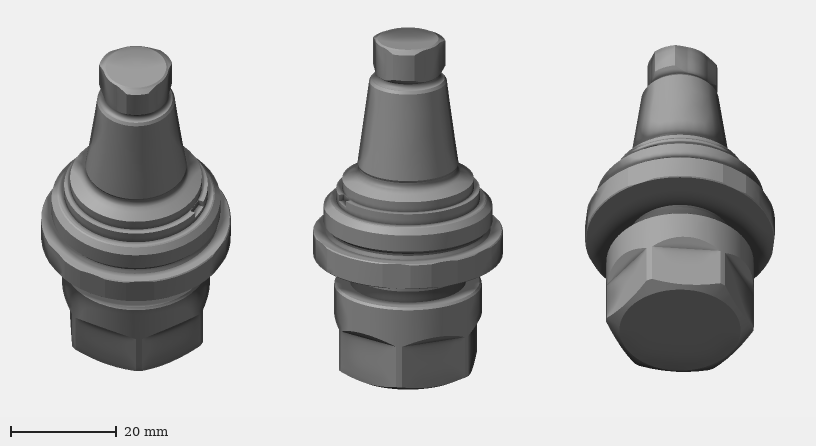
import cadquery as cq
import math

TOTAL_HEIGHT = 67.0
NUT_TOP = 17.55
FLANGE_BOTTOM = 23.0
FLANGE_TOP = 28.1
COLLAR_BOTTOM = 29.9
COLLAR_TOP = 34.4
RING_TOP = 36.6
SHOULDER_TOP = 38.6
TAPER_BOTTOM = 41.75
TAPER_TOP = 58.5
HEAD_BOTTOM = 60.0

NUT_RADIUS = 28.0 / 2
NUT_END_RADIUS = 23.0 / 2
JOURNAL_RADIUS = 22.0 / 2
NECK_RADIUS = 19.5 / 2
COLLAR_RADIUS = 32.0 / 2
GROOVE_RADIUS = 30.1 / 2
RING_RADIUS = 27.3 / 2
SHOULDER_RADIUS = 25.0 / 2
UNDERCUT_RADIUS = 9.4
TAPER_LARGE_RADIUS = 9.6
TAPER_SMALL_RADIUS = 7.4
STUD_NECK_RADIUS = 5.95

EDGE_BREAK = 0.2
NUT_TOP_BREAK = 0.4
NUT_BEVEL_HEIGHT = 1.4
JOURNAL_HEIGHT = 2.2
NECK_FLARE_HEIGHT = 1.35
GROOVE_UPPER_HEIGHT = 0.8
GROOVE_WALL_HEIGHT = 0.4
GROOVE_FLARE = 0.6
COLLAR_BEVEL = 1.1
COLLAR_LIP_RADIUS = 14.7
COLLAR_LIP_DROP = 0.15
UNDERCUT_FILLET = 1.1
UNDERCUT_TURN = math.radians(60)
UNDERCUT_GAP = 0.8
UNDERCUT_LEAD = 0.5
TAPER_TIP_BEVEL = 0.55
STUD_FILLET = HEAD_BOTTOM - TAPER_TOP - TAPER_TIP_BEVEL

HEX_ACROSS_FLATS = 24.8
HEX_TOP = 9.65

FLANGE_ACROSS_FLATS = 35.6
FLAT_WIDTH = 5.35
FLAT_ANGLES = (0, 60, 90, 120, 180, 240, 270, 300)

SLOT_WIDTH = 3.4
POCKET_WIDTH = 3.1
RECESS_HEIGHT = 1.3

LOBE_COUNT = 3
LOBE_RADIUS = 7.1
HEAD_CORE_RADIUS = 6.15
LOBE_HALF_ANGLE = 17
LOBE_FOOT_ANGLE = 38
HEAD_TOP_RADIUS = 5.75
HEAD_RIM_RADIUS = 6.1
HEAD_TOP_BEVEL = 0.7


def polar(radius, degrees):
    angle = math.radians(degrees)
    return radius * math.cos(angle), radius * math.sin(angle)


def polygon_of_revolution(points):
    """Revolve a closed (radius, height) outline about the Z axis."""
    return cq.Workplane("XZ").polyline(points).close().revolve(360, (0, 0), (0, 1))


def nut():
    body = polygon_of_revolution([
        (0, 0),
        (NUT_END_RADIUS, 0),
        (NUT_RADIUS, NUT_BEVEL_HEIGHT),
        (NUT_RADIUS, NUT_TOP - NUT_TOP_BREAK),
        (NUT_RADIUS - NUT_TOP_BREAK, NUT_TOP),
        (0, NUT_TOP),
    ])
    flat_distance = HEX_ACROSS_FLATS / 2
    margin = NUT_RADIUS
    cutter = (
        cq.Workplane("XZ")
        .polyline([
            (flat_distance, -margin),
            (flat_distance, HEX_TOP),
            (flat_distance + margin, HEX_TOP + margin),
            (flat_distance + margin, -margin),
        ])
        .close()
        .extrude(NUT_RADIUS, both=True)
    )
    for side in range(6):
        body = body.cut(cutter.rotate((0, 0, 0), (0, 0, 1), 30 + 60 * side))
    return body


def flange():
    flat_distance = FLANGE_ACROSS_FLATS / 2
    round_radius = math.hypot(flat_distance, FLAT_WIDTH / 2)
    height = FLANGE_TOP - FLANGE_BOTTOM
    body = (
        cq.Workplane("XY").workplane(offset=FLANGE_BOTTOM)
        .circle(round_radius).extrude(height)
        .edges().chamfer(EDGE_BREAK)
    )
    cutter = cq.Workplane("XY").box(
        FLAT_WIDTH, 2 * FLAT_WIDTH, height, centered=(False, True, False)
    ).translate((flat_distance, 0, FLANGE_BOTTOM))
    for angle in FLAT_ANGLES:
        body = body.cut(cutter.rotate((0, 0, 0), (0, 0, 1), angle))
    return body


def spindle():
    """Turned core from the journal above the nut to the neck below the head."""
    flare_bottom = NUT_TOP + JOURNAL_HEIGHT
    groove_top = COLLAR_BOTTOM - GROOVE_UPPER_HEIGHT
    undercut_top = TAPER_BOTTOM - UNDERCUT_GAP
    fillet_mid = UNDERCUT_TURN / 2

    def undercut_point(turn):
        return (
            UNDERCUT_RADIUS + UNDERCUT_FILLET * (1 - math.cos(turn)),
            undercut_top - UNDERCUT_FILLET * math.sin(turn),
        )

    stud_fillet_bottom = TAPER_TOP + TAPER_TIP_BEVEL
    stud_fillet_inset = STUD_FILLET * (1 - math.sqrt(0.5))
    stud_fillet_mid = (
        STUD_NECK_RADIUS + stud_fillet_inset,
        stud_fillet_bottom + stud_fillet_inset,
    )
    return (
        cq.Workplane("XZ")
        .moveTo(0, NUT_TOP)
        .lineTo(JOURNAL_RADIUS, NUT_TOP)
        .lineTo(JOURNAL_RADIUS, flare_bottom)
        .lineTo(NECK_RADIUS, flare_bottom + NECK_FLARE_HEIGHT)
        .lineTo(NECK_RADIUS, FLANGE_BOTTOM - 2 * EDGE_BREAK)
        .lineTo(NECK_RADIUS + EDGE_BREAK, FLANGE_BOTTOM)
        .lineTo(NECK_RADIUS + EDGE_BREAK, FLANGE_TOP)
        .lineTo(GROOVE_RADIUS + GROOVE_FLARE, FLANGE_TOP)
        .lineTo(GROOVE_RADIUS, groove_top - GROOVE_WALL_HEIGHT)
        .lineTo(GROOVE_RADIUS, groove_top)
        .lineTo(COLLAR_RADIUS, COLLAR_BOTTOM)
        .lineTo(COLLAR_RADIUS, COLLAR_TOP - COLLAR_LIP_DROP - COLLAR_BEVEL)
        .lineTo(COLLAR_RADIUS - COLLAR_BEVEL, COLLAR_TOP - COLLAR_LIP_DROP)
        .lineTo(COLLAR_LIP_RADIUS, COLLAR_TOP)
        .lineTo(RING_RADIUS, COLLAR_TOP)
        .lineTo(RING_RADIUS, RING_TOP)
        .lineTo(SHOULDER_RADIUS, RING_TOP)
        .lineTo(SHOULDER_RADIUS, SHOULDER_TOP)
        .lineTo(*undercut_point(UNDERCUT_TURN))
        .threePointArc(undercut_point(fillet_mid), (UNDERCUT_RADIUS, undercut_top))
        .lineTo(UNDERCUT_RADIUS, TAPER_BOTTOM - UNDERCUT_LEAD)
        .lineTo(TAPER_LARGE_RADIUS, TAPER_BOTTOM)
        .lineTo(TAPER_SMALL_RADIUS, TAPER_TOP)
        .lineTo(STUD_NECK_RADIUS + STUD_FILLET, stud_fillet_bottom)
        .threePointArc(stud_fillet_mid, (STUD_NECK_RADIUS, HEAD_BOTTOM))
        .lineTo(0, HEAD_BOTTOM)
        .close()
        .revolve(360, (0, 0), (0, 1))
    )


def head():
    """Three-lobed stud head, bevelled conically above and below the lobes."""
    pitch = 360 / LOBE_COUNT
    first_angle = 180
    outline = cq.Workplane("XY").workplane(offset=HEAD_BOTTOM)
    outline = outline.moveTo(*polar(LOBE_RADIUS, first_angle - LOBE_HALF_ANGLE))
    for lobe in range(LOBE_COUNT):
        centre = first_angle + lobe * pitch
        next_lobe = centre + pitch
        outline = (
            outline
            .threePointArc(polar(LOBE_RADIUS, centre), polar(LOBE_RADIUS, centre + LOBE_HALF_ANGLE))
            .lineTo(*polar(HEAD_CORE_RADIUS, centre + LOBE_FOOT_ANGLE))
            .threePointArc(
                polar(HEAD_CORE_RADIUS, centre + pitch / 2),
                polar(HEAD_CORE_RADIUS, next_lobe - LOBE_FOOT_ANGLE),
            )
        )
        if lobe < LOBE_COUNT - 1:
            outline = outline.lineTo(*polar(LOBE_RADIUS, next_lobe - LOBE_HALF_ANGLE))
    lobes = outline.close().extrude(TOTAL_HEIGHT - HEAD_BOTTOM)
    envelope = polygon_of_revolution([
        (0, HEAD_BOTTOM),
        (STUD_NECK_RADIUS, HEAD_BOTTOM),
        (LOBE_RADIUS, HEAD_BOTTOM + LOBE_RADIUS - STUD_NECK_RADIUS),
        (LOBE_RADIUS, TOTAL_HEIGHT - HEAD_TOP_BEVEL),
        (HEAD_RIM_RADIUS, TOTAL_HEIGHT - EDGE_BREAK),
        (HEAD_TOP_RADIUS, TOTAL_HEIGHT),
        (0, TOTAL_HEIGHT),
    ])
    return lobes.intersect(envelope)


def ring_recess(width, bottom, side):
    """Block that cuts the ring back to the shoulder radius on the +X or -X side."""
    depth = RING_RADIUS - SHOULDER_RADIUS
    centre = side * (SHOULDER_RADIUS + depth / 2)
    return cq.Workplane("XY").box(depth, width, RECESS_HEIGHT, centered=(True, True, False)).translate(
        (centre, 0, bottom)
    )


open_slot = ring_recess(SLOT_WIDTH, RING_TOP - RECESS_HEIGHT, 1)
closed_pocket = ring_recess(POCKET_WIDTH, COLLAR_TOP, -1)

result = spindle().union(nut()).union(flange()).union(head())
result = result.cut(open_slot).cut(closed_pocket)